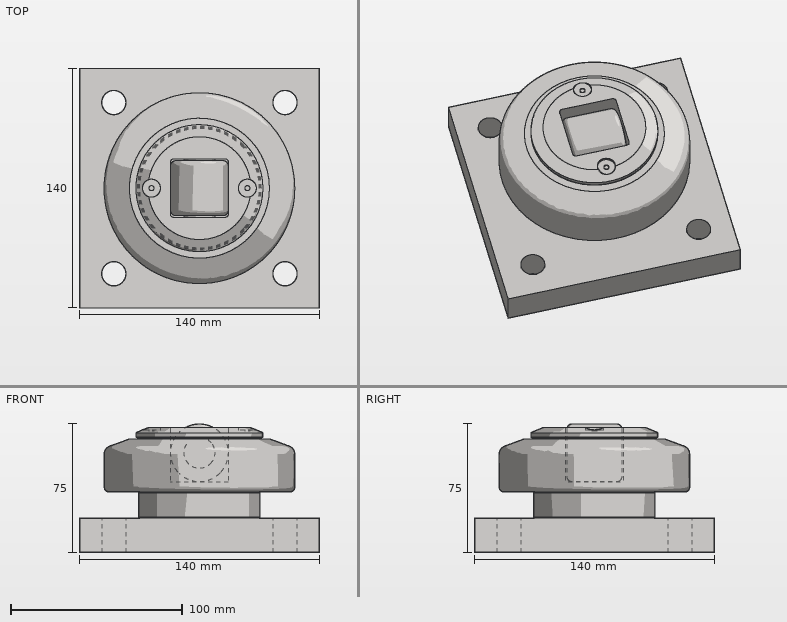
import cadquery as cq

plate_side = 140
plate_thickness = 20.0
bolt_spacing = 100.0
bolt_hole_diameter = 14

neck_diameter = 71.0
neck_chamfer = 0.5

ring_diameter = 111.5
ring_bottom = 35.3
ring_top = 66.4
ring_top_diameter = 81.8
ring_cone_bottom = 60.9
ring_lower_fillet = 3.0
ring_upper_fillet = 5.0

cap_diameter = 74.2
cap_top = 73.0
cap_top_diameter = 60.0
cap_edge = 1.0
cap_rim_top = 69.9
cap_rim_bottom = 67.3
cap_bevel_height = 0.5
cap_bevel_top = cap_rim_top + cap_bevel_height
cap_bevel_bottom = cap_rim_bottom - cap_bevel_height

overall_height = 75.0
roller_diameter = 33.7
roller_length = 32.0
roller_fillet = 3.0
roller_height = overall_height - roller_diameter / 2
hub_diameter = 18.0
window_side = 34.0
window_corner_radius = 2.0
window_clearance = 0.3
window_depth = cap_top - (roller_height - roller_diameter / 2 - window_clearance)

screw_offset = 28
screw_recess_diameter = 10.5
screw_recess_depth = 1.4
socket_diameter = 3.0
socket_depth = 0.7


def make_plate():
    """Square plate with a bolt hole near each corner, standing on Z = 0."""
    return (
        cq.Workplane("XY")
        .box(plate_side, plate_side, plate_thickness, centered=(True, True, False))
        .faces(">Z")
        .workplane()
        .rect(bolt_spacing, bolt_spacing, forConstruction=True)
        .vertices()
        .hole(bolt_hole_diameter)
    )


def make_neck():
    """Round neck with both ends chamfered."""
    return (
        cq.Workplane("XY", origin=(0, 0, plate_thickness))
        .circle(neck_diameter / 2)
        .extrude(ring_bottom - plate_thickness)
        .edges()
        .chamfer(neck_chamfer)
    )


def make_ring():
    """Wide ring with a conical shoulder and rounded rims."""
    rim = ring_diameter / 2
    ring = (
        cq.Workplane("XZ")
        .moveTo(0, ring_bottom)
        .lineTo(rim, ring_bottom)
        .lineTo(rim, ring_cone_bottom)
        .lineTo(ring_top_diameter / 2, ring_top)
        .lineTo(0, ring_top)
        .close()
        .revolve(360, (0, 0, 0), (0, 1, 0))
    )
    ring = ring.faces("<Z").edges().fillet(ring_lower_fillet)
    return ring.faces("%CONE").edges("<Z").fillet(ring_upper_fillet)


def make_cap():
    """Conical cap with a bevelled cylindrical rim."""
    rim = cap_diameter / 2
    return (
        cq.Workplane("XZ")
        .moveTo(0, ring_top)
        .lineTo(rim - cap_edge, ring_top)
        .lineTo(rim - cap_edge, cap_bevel_bottom)
        .lineTo(rim, cap_rim_bottom)
        .lineTo(rim, cap_rim_top)
        .lineTo(rim - cap_edge, cap_bevel_top)
        .lineTo(cap_top_diameter / 2, cap_top)
        .lineTo(0, cap_top)
        .close()
        .revolve(360, (0, 0, 0), (0, 1, 0))
    )


def make_window():
    """Square pocket that holds the axial roller."""
    return (
        cq.Workplane("XY", origin=(0, 0, cap_top - window_depth))
        .rect(window_side, window_side)
        .extrude(window_depth)
        .edges("|Z")
        .fillet(window_corner_radius)
    )


def make_y_cylinder(diameter, length):
    """Cylinder along Y on the roller axis, centred on the window."""
    return (
        cq.Workplane("XZ", origin=(0, length / 2, roller_height))
        .circle(diameter / 2)
        .extrude(length)
    )


def make_roller():
    """Axial roller along Y with a hub reaching both window walls."""
    roller = make_y_cylinder(roller_diameter, roller_length).edges("%CIRCLE").fillet(roller_fillet)
    hub = make_y_cylinder(hub_diameter, window_side)
    return roller.union(hub)


def make_screw_recesses():
    """Round recess over each cap screw, with a small socket in its floor."""
    floor = cap_top - screw_recess_depth
    spots = [(-screw_offset, 0), (screw_offset, 0)]
    recesses = (
        cq.Workplane("XY", origin=(0, 0, floor))
        .pushPoints(spots)
        .circle(screw_recess_diameter / 2)
        .extrude(screw_recess_depth)
    )
    sockets = (
        cq.Workplane("XY", origin=(0, 0, floor - socket_depth))
        .pushPoints(spots)
        .circle(socket_diameter / 2)
        .extrude(socket_depth)
    )
    return recesses.union(sockets)


def make_bearing():
    """Combined roller bearing: neck, ring, cap and axial roller."""
    housing = make_neck().union(make_ring()).union(make_cap())
    housing = housing.cut(make_window()).cut(make_screw_recesses())
    return housing.union(make_roller())


plate = make_plate()
bearing = make_bearing()

result = cq.Compound.makeCompound([plate.val(), bearing.val()])